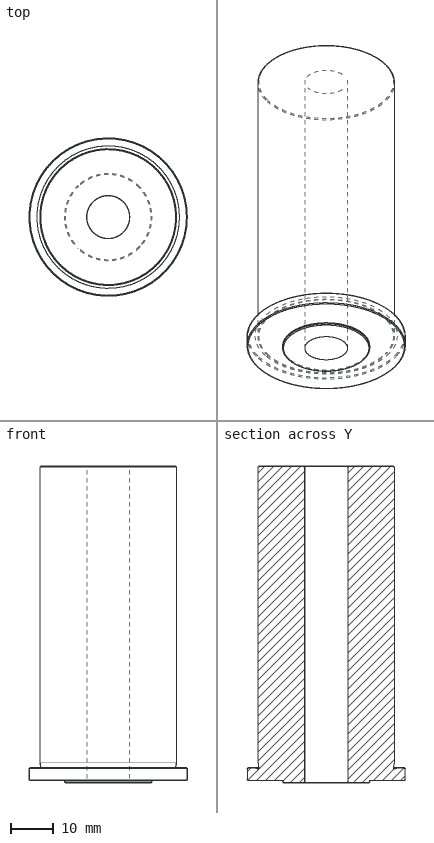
import cadquery as cq

total_height = 74.0
bore_diameter = 10.0
body_diameter = 32.0
flange_diameter = 37.0
flange_thickness = 3.0
pad_diameter = 20.4
pad_height = 0.5
edge_chamfer = 0.2

relief_depth = 0.2
relief_height = 1.2
relief_reach = 0.7

body_radius = body_diameter / 2
flange_radius = flange_diameter / 2
flange_top = pad_height + flange_thickness
relief_radius = body_radius - relief_depth
relief_floor = flange_top - relief_depth


def make_flange():
    base = cq.Workplane("XY").workplane(offset=pad_height)
    flange = base.circle(flange_radius).extrude(flange_thickness)
    return flange.edges().chamfer(edge_chamfer)


def make_body():
    body_height = total_height - pad_height
    body = cq.Workplane("XY").workplane(offset=pad_height).circle(body_radius).extrude(body_height)
    return body.faces(">Z").edges().chamfer(edge_chamfer)


def make_pad():
    pad = cq.Workplane("XY").circle(pad_diameter / 2).extrude(flange_top)
    return pad.faces("<Z").edges().chamfer(edge_chamfer)


def make_relief():
    """Ring that tapers slightly into the body wall and into the flange face."""
    profile = (
        cq.Workplane("XZ")
        .moveTo(body_radius, flange_top + relief_height)
        .lineTo(relief_radius, relief_floor)
        .lineTo(body_radius, relief_floor)
        .lineTo(body_radius + relief_reach, flange_top)
        .lineTo(body_radius + relief_reach, flange_top + relief_height)
        .close()
    )
    return profile.revolve(360, (0, 0, 0), (0, 1, 0))


bore = cq.Workplane("XY").circle(bore_diameter / 2).extrude(total_height)
result = make_flange().union(make_body()).union(make_pad()).cut(make_relief()).cut(bore)